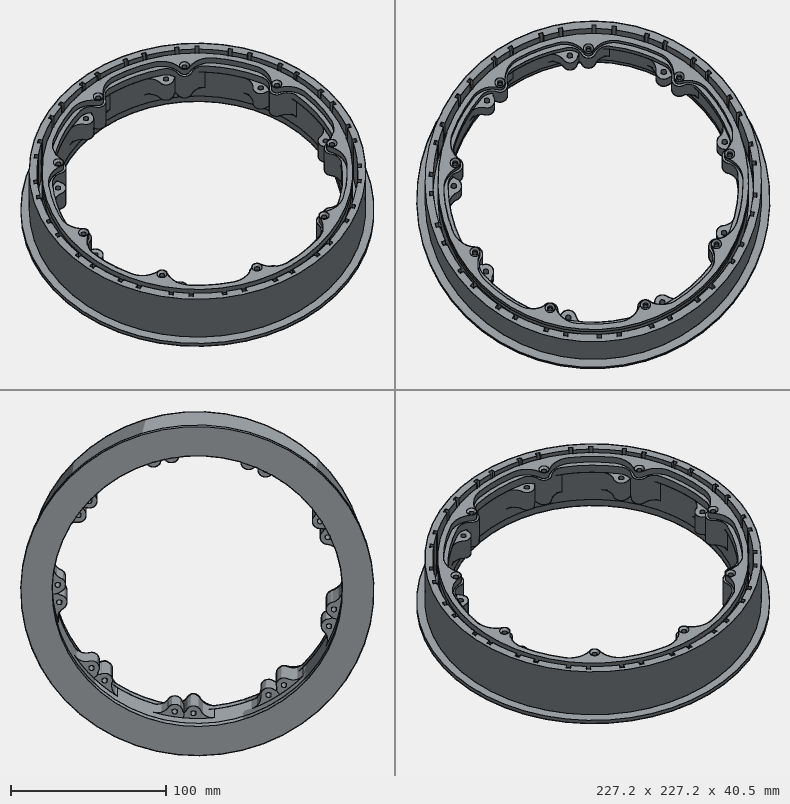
import cadquery as cq
import math

total_height = 40.5
flange_thickness = 3.0
floor_thickness = 5.5
lug_bottom = 14.0
boss_top = 29.3
support_top = 35.5

flange_diameter = 227.2
drum_diameter = 216.5
drum_bore_diameter = 206.3
bore_diameter = 186.8
notch_pair_count = 19
notch_pair_start = -90.0
notch_half_spacing = 3.55
notch_width = 2.7
notch_depth = 2.5

stack_diameter = 200.0
plate_bore_diameter = 192.7
lug_count = 9
lug_circle_radius = 89.7
boss_angle = 7.7
lug_radius = 5.0
lug_fillet = 8.6
plate_lug_radius = 3.5
plate_lug_fillet = 16.0
screw_hole_diameter = 3.5
countersink_diameter = 6.4
countersink_angle = 90.0

lug_pitch = 360.0 / lug_count
bore_radius = bore_diameter / 2
plate_bore_radius = plate_bore_diameter / 2


def polar(radius, angle):
    """Point at a radius and an angle in degrees around the Z axis."""
    return (radius * math.cos(math.radians(angle)), radius * math.sin(math.radians(angle)))


def between(start, end, fraction):
    """Point at a fraction of the way from start to end."""
    return (
        start[0] + (end[0] - start[0]) * fraction,
        start[1] + (end[1] - start[1]) * fraction,
    )


def toward(center, target, distance):
    """Point at a given distance from center in the direction of target."""
    return between(center, target, distance / math.dist(center, target))


def fillet_half_angle(bore, lug, fillet):
    """Angle from a lug's middle to the place where its fillet runs into the bore."""
    reach = bore - fillet
    cosine = reach**2 + lug_circle_radius**2 - (lug + fillet) ** 2
    return math.degrees(math.acos(cosine / (2 * reach * lug_circle_radius)))


def crease_point(lug_angle, side, bore, lug, fillet):
    """Point where a lug's fillet meets the radial plane midway between neighbouring lugs."""
    reach = bore - fillet
    offset = math.radians(fillet_half_angle(bore, lug, fillet) - boss_angle / 2)
    radius = reach * math.cos(offset) + math.sqrt(fillet**2 - (reach * math.sin(offset)) ** 2)
    return polar(radius, lug_angle + side * boss_angle / 2)


def add_lug(outline, angle, bore, lug, fillet, clipped_side=0):
    """Continue an outline from the bore around one lug: fillet, round nose, fillet.

    A side of -1 or +1 may be clipped flat, midway to the neighbouring lug.
    """
    half_angle = fillet_half_angle(bore, lug, fillet)
    nose_center = polar(lug_circle_radius, angle)
    nose_tip = polar(lug_circle_radius - lug, angle)

    feet = {}
    middles = {}
    nose_ends = {}
    for side in (-1, 1):
        fillet_center = polar(bore - fillet, angle + side * half_angle)
        if side == clipped_side:
            feet[side] = crease_point(angle, side, bore, lug, fillet)
        else:
            feet[side] = polar(bore, angle + side * half_angle)
        nose_ends[side] = toward(fillet_center, nose_center, fillet)
        middles[side] = toward(fillet_center, between(feet[side], nose_ends[side], 0.5), fillet)

    if clipped_side == -1:
        outline = outline.lineTo(*feet[-1])
    outline = (
        outline.threePointArc(middles[-1], nose_ends[-1])
        .threePointArc(nose_tip, nose_ends[1])
        .threePointArc(middles[1], feet[1])
    )
    if clipped_side == 1:
        outline = outline.lineTo(*polar(bore, angle + boss_angle / 2))
    return outline


def lug_angles(first_angle):
    """Angles of all lugs, one pitch step apart."""
    return [first_angle + index * lug_pitch for index in range(lug_count)]


def ring(diameter, bore, bottom, top):
    """Plain ring between two heights."""
    plane = cq.Workplane("XY", origin=(0, 0, bottom))
    return plane.circle(diameter / 2).circle(bore / 2).extrude(top - bottom)


def lugged_ring(first_angle, bore, lug, fillet, bottom, top, clipped_side=0):
    """Ring of the stack whose bore carries one lug at every pitch step."""
    half_angle = fillet_half_angle(bore, lug, fillet)
    start_angle = boss_angle / 2 if clipped_side == -1 else half_angle
    plane = cq.Workplane("XY", origin=(0, 0, bottom))
    opening = plane.moveTo(*polar(bore, first_angle - start_angle))
    for angle in lug_angles(first_angle):
        opening = add_lug(opening, angle, bore, lug, fillet, clipped_side)
        next_start = polar(bore, angle + lug_pitch - start_angle)
        opening = opening.threePointArc(polar(bore, angle + lug_pitch / 2), next_start)
    opening = opening.close().extrude(top - bottom)
    return plane.circle(stack_diameter / 2).extrude(top - bottom).cut(opening)


def lug_holes(first_angle, bottom, top):
    """Straight screw holes through every lug."""
    centers = [polar(lug_circle_radius, angle) for angle in lug_angles(first_angle)]
    plane = cq.Workplane("XY", origin=(0, 0, bottom))
    return plane.pushPoints(centers).circle(screw_hole_diameter / 2).extrude(top - bottom)


def support_columns():
    """Lugs reaching down along the bore, with a back face on the bore radius."""
    half_angle = fillet_half_angle(bore_radius, lug_radius, lug_fillet)
    columns = cq.Workplane("XY")
    for angle in lug_angles(0):
        start = polar(bore_radius, angle - half_angle)
        column = cq.Workplane("XY", origin=(0, 0, lug_bottom)).moveTo(*start)
        column = add_lug(column, angle, bore_radius, lug_radius, lug_fillet, clipped_side=1)
        column = column.threePointArc(polar(bore_radius, angle), start).close()
        columns = columns.add(column.extrude(boss_top - lug_bottom))
    return columns


def notch_wedge(angle):
    """Wedge that is notch_depth deep at the rim and runs out at the floor."""
    inner = stack_diameter / 2
    wall = drum_bore_diameter / 2
    profile = [
        (inner, floor_thickness),
        (wall, floor_thickness),
        (wall + notch_depth, total_height),
        (inner, total_height),
    ]
    wedge = cq.Workplane("XZ").polyline(profile).close().extrude(notch_width / 2, both=True)
    return wedge.rotate((0, 0, 0), (0, 0, 1), angle)


def make_shell():
    """Flanged drum with an inner floor and pairs of tapering notches along its inner wall."""
    flange = ring(flange_diameter, bore_diameter, 0, flange_thickness)
    floor = ring(drum_diameter, bore_diameter, 0, floor_thickness)
    wall = ring(drum_diameter, drum_bore_diameter, 0, total_height)
    shell = flange.union(floor).union(wall)
    for pair in range(notch_pair_count):
        pair_angle = notch_pair_start + pair * 360.0 / notch_pair_count
        for side in (-1, 1):
            shell = shell.cut(notch_wedge(pair_angle + side * notch_half_spacing))
    return shell


def make_boss_ring():
    """Lowest ring of the stack, its bosses clipped where they meet the support columns."""
    base = ring(stack_diameter, bore_diameter, floor_thickness, lug_bottom)
    bosses = lugged_ring(
        boss_angle, bore_radius, lug_radius, lug_fillet, lug_bottom, boss_top, clipped_side=-1
    )
    return base.union(bosses).cut(lug_holes(boss_angle, lug_bottom, boss_top))


def make_support_ring():
    """Middle ring of the stack, standing on the boss ring with its columns inside the bore."""
    body = lugged_ring(0, bore_radius, lug_radius, lug_fillet, boss_top, support_top)
    for column in support_columns().vals():
        body = body.union(cq.Workplane(column))
    return body.cut(lug_holes(0, lug_bottom, support_top))


def make_top_plate():
    """Top ring of the stack, with a countersunk hole in every lug."""
    body = lugged_ring(
        0, plate_bore_radius, plate_lug_radius, plate_lug_fillet, support_top, total_height
    )
    centers = [polar(lug_circle_radius, angle) for angle in lug_angles(0)]
    return (
        body.faces(">Z")
        .workplane(origin=(0, 0, total_height))
        .pushPoints(centers)
        .cskHole(screw_hole_diameter, countersink_diameter, countersink_angle)
    )


shell = make_shell()
boss_ring = make_boss_ring()
support_ring = make_support_ring()
top_plate = make_top_plate()

result = cq.Compound.makeCompound([shell.val(), boss_ring.val(), support_ring.val(), top_plate.val()])